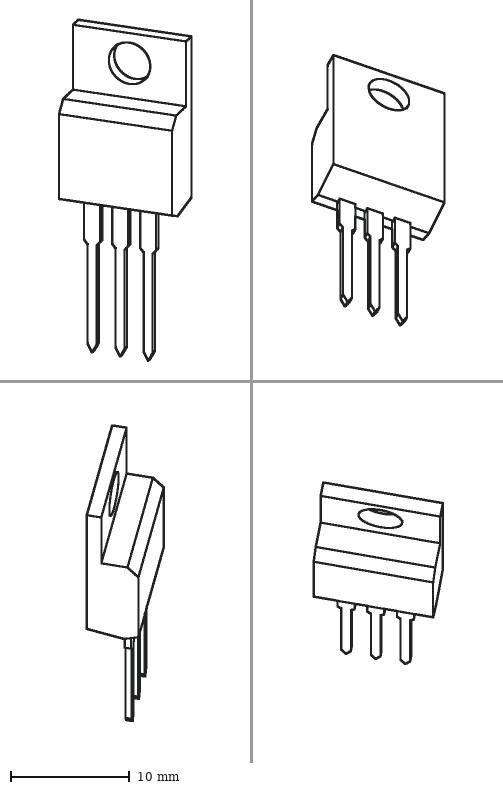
import cadquery as cq

width = 10.25
depth = 4.45
height = 28.52

tab_thickness = 1.25
hole_diameter = 3.75
hole_below_top = 2.75

body_bottom = 13.4
body_top = 22.65
front_chamfer_depth = 0.95
front_chamfer_height = 1.03
bottom_ridge_y = 1.25
front_bottom_rise = 0.5
back_bottom_rise = 0.5

lead_pitch = 2.55
lead_thickness = 0.55
lead_center_y = 1.3
wide_width = 1.45
narrow_width = 0.83
shoulder_top = 10.12
shoulder_bottom = 9.75
tip_height = 0.77
lead_embed = 0.57


def make_body():
    """Side profile in the YZ plane, extruded across the full width."""
    profile = [
        (depth, body_bottom + back_bottom_rise),
        (depth, height),
        (depth - tab_thickness, height),
        (depth - tab_thickness, body_top),
        (front_chamfer_depth, body_top),
        (0, body_top - front_chamfer_height),
        (0, body_bottom + front_bottom_rise),
        (bottom_ridge_y, body_bottom),
    ]
    return cq.Workplane("YZ").polyline(profile).close().extrude(width / 2, both=True)


def make_hole():
    """Through hole cutter for the tab, along Y."""
    return (
        cq.Workplane("XZ")
        .center(0, height - hole_below_top)
        .circle(hole_diameter / 2)
        .extrude(-depth)
    )


def make_lead(center_x):
    """Flat pointed lead, wide next to the body, reaching a little into it."""
    right_edge = [
        (narrow_width / 2, tip_height),
        (narrow_width / 2, shoulder_bottom),
        (wide_width / 2, shoulder_top),
        (wide_width / 2, body_bottom + lead_embed),
    ]
    left_edge = [(-x, z) for x, z in reversed(right_edge)]
    outline = [(0, 0)] + right_edge + left_edge
    return (
        cq.Workplane("XZ")
        .polyline(outline)
        .close()
        .extrude(lead_thickness / 2, both=True)
        .translate((center_x, lead_center_y, 0))
    )


result = make_body().cut(make_hole())
for position in (-1, 0, 1):
    result = result.union(make_lead(position * lead_pitch))